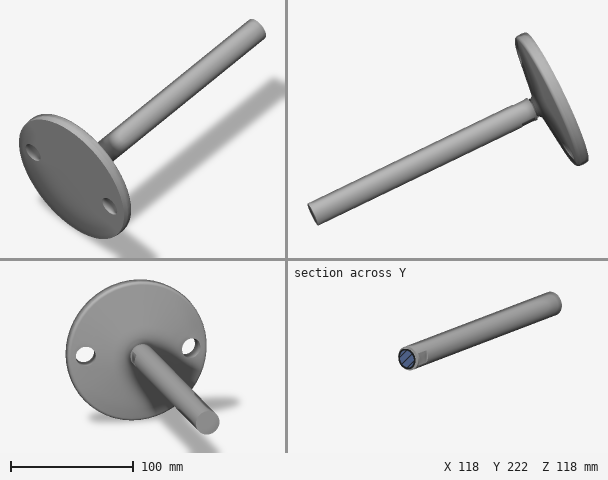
import cadquery as cq
import math

overall_length = 222.0

base_diameter = 117.0
ridge_diameter = 118.0
rim_top_diameter = 117.7
ridge_height = 4.0
rim_top_height = 6.7
shoulder_radius = 56.4
shoulder_height = 9.8
shoulder_mid_point = (58.2, 8.9)
cone_top_radius = 12.2
cone_top_height = 17.0
fillet_mid_point = (10.7, 17.5)
collar_foot_radius = 9.5
collar_foot_height = 18.2
collar_top_radius = 7.8
collar_top_height = 20.2
lip_radius = 8.7
lip_height = 20.9

fixing_hole_diameter = 16.5
fixing_hole_offset = 42.6
cone_tilt = math.atan2(cone_top_height - shoulder_height, shoulder_radius - cone_top_radius)
drill_overrun = 11.0

rod_diameter = 20.0
rod_start = 22.2
neck_radius = 6.9
flat_spacing = 17.0
flat_start = 24.2
flat_end = 36.0


def make_foot_pad():
    """Turn the dish about Y and drill its two fixing holes."""
    outline = (
        cq.Workplane("XY")
        .lineTo(base_diameter / 2, 0)
        .lineTo(ridge_diameter / 2, ridge_height)
        .lineTo(rim_top_diameter / 2, rim_top_height)
        .threePointArc(shoulder_mid_point, (shoulder_radius, shoulder_height))
        .lineTo(cone_top_radius, cone_top_height)
        .threePointArc(fillet_mid_point, (collar_foot_radius, collar_foot_height))
        .lineTo(collar_top_radius, collar_top_height)
        .lineTo(lip_radius, lip_height)
        .lineTo(0, lip_height)
        .close()
    )
    pad = outline.revolve(360, (0, 0, 0), (0, 1, 0))
    for side in (-1, 1):
        axis = cq.Vector(side * math.sin(cone_tilt), math.cos(cone_tilt), 0)
        start = cq.Vector(side * fixing_hole_offset, 0, 0) - axis * drill_overrun
        drill = cq.Solid.makeCylinder(
            fixing_hole_diameter / 2, lip_height + 2 * drill_overrun, start, axis
        )
        pad = pad.cut(cq.Workplane(drill))
    return pad


def make_spindle():
    """Turn the rod and its neck about Y and cut the two wrench flats."""
    spindle = (
        cq.Workplane("XY", origin=(0, lip_height, 0))
        .lineTo(neck_radius, 0)
        .lineTo(neck_radius, rod_start - lip_height)
        .lineTo(rod_diameter / 2, rod_start - lip_height)
        .lineTo(rod_diameter / 2, overall_length - lip_height)
        .lineTo(0, overall_length - lip_height)
        .close()
        .revolve(360, (0, 0, 0), (0, 1, 0))
    )
    for side in (-1, 1):
        cutter = cq.Workplane("XY").box(rod_diameter, flat_end - flat_start, rod_diameter)
        cutter_x = side * (flat_spacing + rod_diameter) / 2
        spindle = spindle.cut(cutter.translate((cutter_x, (flat_start + flat_end) / 2, 0)))
    return spindle


foot_pad = make_foot_pad()
spindle = make_spindle()
result = cq.Compound.makeCompound([foot_pad.val(), spindle.val()])